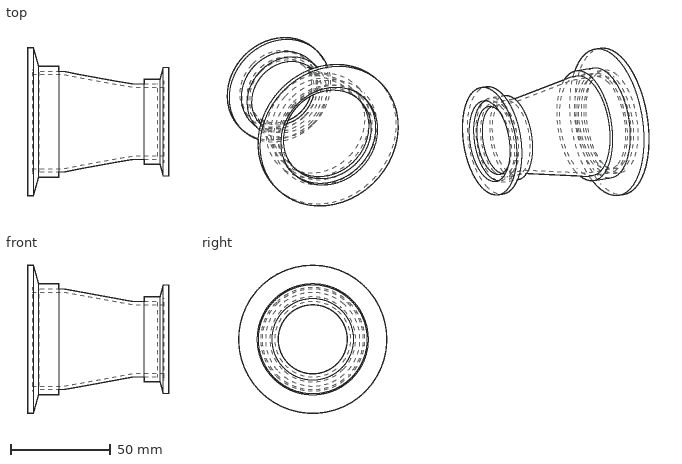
import cadquery as cq

total_length = 71.3

wall = 1.7
large_tube_radius = 25.45
small_tube_radius = 19.1
taper_start = 18.4
taper_end = 53.2

large_flange_radius = 37.4
large_hub_radius = 28.05
large_rim_width = 3.0
large_bevel_width = 2.6
large_flange_length = 15.9
large_recess_radius = 26.2
large_recess_depth = 2.6
large_socket_start = 5.75

small_flange_radius = 27.5
small_hub_radius = 21.55
small_rim_width = 2.9
small_bevel_width = 1.6
small_flange_length = 12.6
small_recess_radius = 20.6
small_recess_depth = 2.6
small_socket_start = 5.75

tube_start = large_socket_start
tube_end = total_length - small_socket_start


def turn(profile):
    """Revolve a closed (x, radius) profile about the X axis."""
    return profile.close().revolve(360, (0, 0, 0), (1, 0, 0))


def make_flange(flange_radius, hub_radius, rim_width, bevel_width, length,
                recess_radius, recess_depth, tube_radius, socket_start):
    """Flange with its face at X = 0, a centering recess and a socket for the tube."""
    bore_radius = tube_radius - wall
    return turn(
        cq.Workplane("XZ")
        .moveTo(0, recess_radius)
        .lineTo(0, flange_radius)
        .lineTo(rim_width, flange_radius)
        .lineTo(rim_width + bevel_width, hub_radius)
        .lineTo(length, hub_radius)
        .lineTo(length, tube_radius)
        .lineTo(socket_start, tube_radius)
        .lineTo(socket_start, bore_radius)
        .lineTo(recess_depth, bore_radius)
        .lineTo(recess_depth, recess_radius)
    )


def make_reducer():
    """Thin tube: straight large end, taper, straight small end."""
    return turn(
        cq.Workplane("XZ")
        .moveTo(tube_start, large_tube_radius)
        .lineTo(taper_start, large_tube_radius)
        .lineTo(taper_end, small_tube_radius)
        .lineTo(tube_end, small_tube_radius)
        .lineTo(tube_end, small_tube_radius - wall)
        .lineTo(taper_end, small_tube_radius - wall)
        .lineTo(taper_start, large_tube_radius - wall)
        .lineTo(tube_start, large_tube_radius - wall)
    )


large_flange = make_flange(
    large_flange_radius, large_hub_radius, large_rim_width, large_bevel_width, large_flange_length,
    large_recess_radius, large_recess_depth, large_tube_radius, large_socket_start,
)

small_flange = make_flange(
    small_flange_radius, small_hub_radius, small_rim_width, small_bevel_width, small_flange_length,
    small_recess_radius, small_recess_depth, small_tube_radius, small_socket_start,
).mirror("YZ").translate((total_length, 0, 0))

reducer = make_reducer()

result = cq.Compound.makeCompound([large_flange.val(), reducer.val(), small_flange.val()])